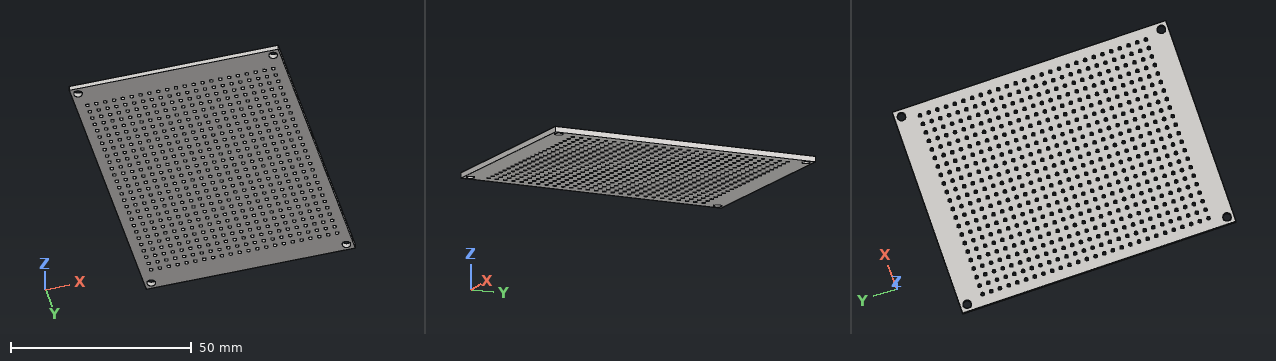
import cadquery as cq

board_width = 60.0
board_length = 80.0
board_thickness = 1.6

mount_diameter = 2.3
mount_edge_offset = 2.0

grid_diameter = 1.0
grid_columns = 22
grid_rows = 27
grid_width = 53.4
grid_pitch = grid_width / (grid_columns - 1)


def make_board():
    return cq.Workplane("XY").box(
        board_width, board_length, board_thickness, centered=(True, True, False)
    )


def cut_mounting_holes(board):
    return (
        board.faces(">Z")
        .workplane(origin=(0, 0, board_thickness))
        .rect(
            board_width - 2 * mount_edge_offset,
            board_length - 2 * mount_edge_offset,
            forConstruction=True,
        )
        .vertices()
        .hole(mount_diameter)
    )


def cut_grid_holes(board):
    pins = (
        cq.Workplane("XY")
        .rarray(grid_pitch, grid_pitch, grid_columns, grid_rows)
        .circle(grid_diameter / 2)
        .extrude(board_thickness)
    )
    return board.cut(pins)


result = cut_grid_holes(cut_mounting_holes(make_board()))